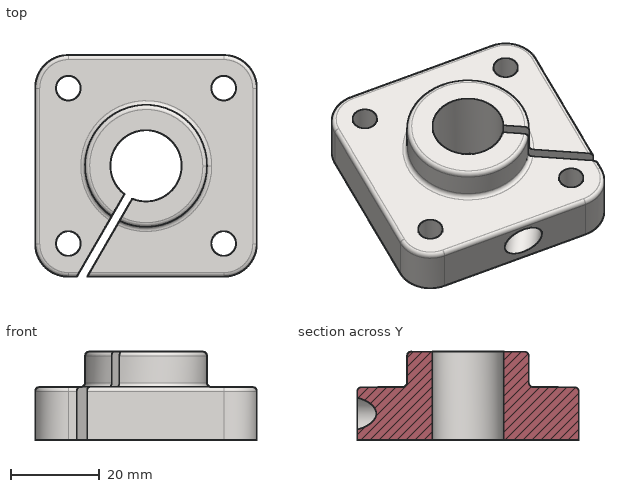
import cadquery as cq
import math

base_side = 50.0
base_height = 12.0
corner_radius = 7.5
edge_radius = 1.0

boss_diameter = 27.5
boss_height = 8.0
bore_diameter = 16.0
total_height = base_height + boss_height

mount_hole_diameter = 5.5
mount_hole_pitch = 35.0

slot_width = 2.0
slot_angle = 240.0
slot_length = base_side

screw_offset = 14.35
clearance_diameter = 4.5
thread_diameter = 3.3
head_diameter = 8.0
head_seat_distance = 13.5
screw_end_distance = 10.0
head_bore_length = base_side / 2


def make_body():
    """Base with rounded edges and a boss blended into its top face."""
    base = (
        cq.Workplane("XY")
        .rect(base_side, base_side)
        .extrude(base_height)
        .edges("|Z")
        .fillet(corner_radius)
        .faces(">Z")
        .edges()
        .fillet(edge_radius)
    )
    boss = cq.Workplane("XY").circle(boss_diameter / 2).extrude(total_height)
    boss = boss.faces(">Z").edges().fillet(edge_radius)
    body = base.union(boss)

    foot_radius = boss_diameter / 2 + edge_radius / 2
    foot = cq.selectors.BoxSelector(
        (-foot_radius, -foot_radius, base_height - edge_radius / 2),
        (foot_radius, foot_radius, base_height + edge_radius / 2),
        boundingbox=True,
    )
    return body.edges(foot).fillet(edge_radius)


def make_vertical_holes():
    """Shaft bore and the four mounting holes."""
    bore = cq.Workplane("XY").circle(bore_diameter / 2).extrude(total_height)
    mounts = (
        cq.Workplane("XY")
        .rect(mount_hole_pitch, mount_hole_pitch, forConstruction=True)
        .vertices()
        .circle(mount_hole_diameter / 2)
        .extrude(base_height)
    )
    return bore.union(mounts)


def make_slot():
    """Full-height slot from the bore axis out through the base."""
    slot = cq.Workplane("XY").box(slot_length, slot_width, total_height, centered=(False, True, False))
    return slot.rotate((0, 0, 0), (0, 0, 1), slot_angle)


def make_screw_hole():
    """Counterbored clearance hole up to the slot and a narrower blind hole beyond it."""
    angle = math.radians(slot_angle)
    crossing = (
        screw_offset * math.cos(angle),
        screw_offset * math.sin(angle),
        base_height / 2,
    )
    screw_plane = cq.Plane(
        origin=crossing,
        xDir=(0, 0, 1),
        normal=(-math.sin(angle), math.cos(angle), 0),
    )
    head = (
        cq.Workplane(screw_plane)
        .workplane(offset=-head_seat_distance)
        .circle(head_diameter / 2)
        .extrude(-head_bore_length)
    )
    clearance = (
        cq.Workplane(screw_plane)
        .circle(clearance_diameter / 2)
        .extrude(-head_seat_distance)
    )
    thread = (
        cq.Workplane(screw_plane)
        .circle(thread_diameter / 2)
        .extrude(screw_end_distance)
    )
    return head.union(clearance).union(thread)


result = make_body().cut(make_vertical_holes()).cut(make_slot()).cut(make_screw_hole())